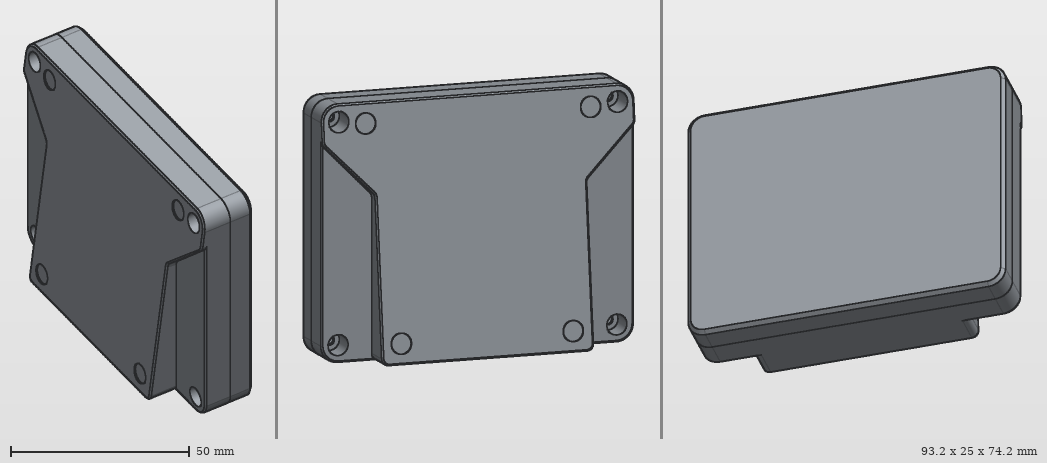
import cadquery as cq
import math

WIDTH = 93.2
HEIGHT = 74.2
CORNER_RADIUS = 5.0

LID_DEPTH = 7.6
TOP_DEPTH = 16.0
SHOULDER_DEPTH = TOP_DEPTH

SLOPE_ANGLE = 7.0
SLOPE = math.tan(math.radians(SLOPE_ANGLE))
SLOPE_NORMAL = cq.Vector(0, -1, SLOPE).normalized()
BOTTOM_DEPTH = TOP_DEPTH + HEIGHT * SLOPE

LID_CHAMFER = 1.1
EDGE_CHAMFER = 0.5

SHOULDER_WIDTH = 15.0
SHOULDER_WALL_TOP = 48.4
SHOULDER_OUTER_TOP = SHOULDER_WALL_TOP + SHOULDER_WIDTH
WALL_X = WIDTH / 2 - SHOULDER_WIDTH
WEDGE_FILLET = 2.05

SCREW_HEAD_DIAMETER = 6.0
SCREW_DIAMETER = 3.0
SCREW_HEAD_FLOOR = 8.7
DRILL_TIP_ANGLE = 118.0

FOOT_DIAMETER = 6.0
FOOT_RECESS = 0.5
FOOT_EDGE_DISTANCE = 6.0
UPPER_FOOT_X = 33.55
LOWER_FOOT_X = 25.6

OVERSHOOT = 4.7


def rounded_block(back_depth, front_depth):
    """Block with the rounded outline, between two depths."""
    return (
        cq.Workplane("XZ", origin=(0, -back_depth, HEIGHT / 2))
        .rect(WIDTH, HEIGHT)
        .extrude(front_depth - back_depth)
        .edges("|Y")
        .fillet(CORNER_RADIUS)
    )


def screw_positions():
    """X and Z of the four screw axes."""
    x = WIDTH / 2 - CORNER_RADIUS
    return [(side * x, z) for side in (-1, 1) for z in (CORNER_RADIUS, HEIGHT - CORNER_RADIUS)]


def foot_positions():
    """X and Z of the four foot recesses."""
    upper_z = HEIGHT - FOOT_EDGE_DISTANCE
    rows = ((UPPER_FOOT_X, upper_z), (LOWER_FOOT_X, FOOT_EDGE_DISTANCE))
    return [(side * x, z) for side in (-1, 1) for x, z in rows]


def cylinder_towards_front(diameter, x, z, back_depth):
    """Cylinder along Y that runs from a depth out past the front of the base."""
    return (
        cq.Workplane("XZ", origin=(x, -back_depth, z))
        .circle(diameter / 2)
        .extrude(BOTTOM_DEPTH)
    )


def drill_tip(x, z):
    """Conical end of a screw hole, pointing into the lid."""
    length = SCREW_DIAMETER / 2 / math.tan(math.radians(DRILL_TIP_ANGLE / 2))
    start = cq.Vector(x, -LID_DEPTH, z)
    return cq.Workplane(cq.Solid.makeCone(SCREW_DIAMETER / 2, 0, length, start, cq.Vector(0, 1, 0)))


def build_lid():
    """Flat back half of the housing."""
    lid = rounded_block(0, LID_DEPTH).faces(">Y").chamfer(LID_CHAMFER)
    for x, z in screw_positions():
        lid = lid.cut(drill_tip(x, z))
    return lid


def front_slope_cut():
    """Material removed in front of the sloping face."""
    front_limit = -BOTTOM_DEPTH - OVERSHOOT
    return (
        cq.Workplane("YZ", origin=(-WIDTH, 0, 0))
        .moveTo(-BOTTOM_DEPTH - OVERSHOOT * SLOPE, -OVERSHOOT)
        .lineTo(-TOP_DEPTH + OVERSHOOT * SLOPE, HEIGHT + OVERSHOOT)
        .lineTo(front_limit, HEIGHT + OVERSHOOT)
        .lineTo(front_limit, -OVERSHOOT)
        .close()
        .extrude(2 * WIDTH)
    )


def shoulder_cut(side):
    """Material removed beside the wedge, cut square to the sloping face.

    The upper end of the cut rises at 45 degrees to the outer side.
    """
    sloping_face = cq.Plane(origin=(0, -BOTTOM_DEPTH, 0), xDir=(1, 0, 0), normal=SLOPE_NORMAL)
    outer_x = WIDTH / 2 + OVERSHOOT
    return (
        cq.Workplane(sloping_face)
        .moveTo(side * WALL_X, -OVERSHOOT)
        .lineTo(side * WALL_X, SHOULDER_WALL_TOP)
        .lineTo(side * outer_x, SHOULDER_OUTER_TOP + OVERSHOOT)
        .lineTo(side * outer_x, -OVERSHOOT)
        .close()
        .extrude(BOTTOM_DEPTH, both=True)
    )


def build_wedge():
    """Part of the base behind the sloping face, over its full depth."""
    wedge = rounded_block(LID_DEPTH, BOTTOM_DEPTH)
    for side in (-1, 1):
        wedge = wedge.cut(shoulder_cut(side))
    slanted_edges = cq.selectors.ParallelDirSelector(SLOPE_NORMAL)
    lower_half = cq.selectors.BoxSelector(
        (-WIDTH, -2 * BOTTOM_DEPTH, -OVERSHOOT), (WIDTH, 0, HEIGHT / 2)
    )
    wedge = wedge.edges(slanted_edges).fillet(WEDGE_FILLET)
    wedge = wedge.edges("|Y").edges(lower_half).fillet(WEDGE_FILLET)
    return wedge.cut(front_slope_cut()).faces("<Y").chamfer(EDGE_CHAMFER)


def build_shoulders():
    """Flat part of the base that carries the shoulders, ending below the upper rounded corners."""
    shoulders = rounded_block(LID_DEPTH, SHOULDER_DEPTH).faces("<Y").chamfer(EDGE_CHAMFER)
    above = cq.Workplane("XY", origin=(0, 0, HEIGHT - CORNER_RADIUS)).box(
        2 * WIDTH, 4 * SHOULDER_DEPTH, HEIGHT, centered=(True, True, False)
    )
    return shoulders.cut(above)


def screw_hole(x, z):
    """Head recess and shank hole, running from the front of the base to the lid."""
    head = cylinder_towards_front(SCREW_HEAD_DIAMETER, x, z, SCREW_HEAD_FLOOR)
    shank = cylinder_towards_front(SCREW_DIAMETER, x, z, LID_DEPTH)
    return head.union(shank)


def foot_recess(x, z):
    """Round recess cut square to the sloping face."""
    centre = cq.Vector(x, -BOTTOM_DEPTH + z * SLOPE, z)
    start = centre + SLOPE_NORMAL * OVERSHOOT
    length = OVERSHOOT + FOOT_RECESS
    return cq.Workplane(cq.Solid.makeCylinder(FOOT_DIAMETER / 2, length, start, -SLOPE_NORMAL))


def build_base():
    """Front half of the housing: wedge, shoulders, screw holes and foot recesses."""
    base = build_wedge().union(build_shoulders())
    for x, z in screw_positions():
        base = base.cut(screw_hole(x, z))
    for x, z in foot_positions():
        base = base.cut(foot_recess(x, z))
    return base


lid = build_lid()
base = build_base()
result = cq.Compound.makeCompound([lid.solids().val(), base.solids().val()])